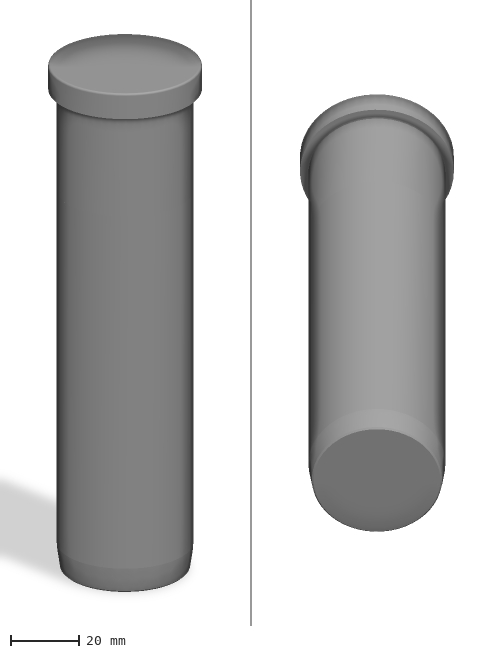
import cadquery as cq

total_length = 160.0
head_diameter = 45.0
head_height = 8.0
shaft_diameter = 40.0
upper_length = 40.0

head_edge_radius = 0.6
groove_width = 1.0
groove_depth = 0.5
nose_height = 8.0
nose_inset = 1.0
nose_mid_inset = 0.35
tip_chamfer = 0.5

head_radius = head_diameter / 2
shaft_radius = shaft_diameter / 2
split_z = total_length - upper_length
head_bottom_z = total_length - head_height


def make_headed_section():
    """Upper section: head, half-round relief groove below it, and fitted shaft."""
    groove_radius = shaft_radius - groove_depth
    groove_bottom_z = head_bottom_z - groove_width
    profile = (
        cq.Workplane("XZ")
        .moveTo(0, split_z)
        .lineTo(shaft_radius, split_z)
        .lineTo(shaft_radius, groove_bottom_z)
        .threePointArc(
            (groove_radius, groove_bottom_z + groove_width / 2),
            (shaft_radius, head_bottom_z),
        )
        .lineTo(head_radius, head_bottom_z)
        .lineTo(head_radius, total_length)
        .lineTo(0, total_length)
        .close()
    )
    return profile.revolve().faces(">Z").edges().fillet(head_edge_radius)


def make_guide_section():
    """Lower section: guiding shaft ending in a rounded, chamfered nose."""
    nose_end_radius = shaft_radius - nose_inset
    nose_mid_z = (nose_height + tip_chamfer) / 2
    profile = (
        cq.Workplane("XZ")
        .lineTo(nose_end_radius - tip_chamfer, 0)
        .lineTo(nose_end_radius, tip_chamfer)
        .threePointArc(
            (shaft_radius - nose_mid_inset, nose_mid_z),
            (shaft_radius, nose_height),
        )
        .lineTo(shaft_radius, split_z)
        .lineTo(0, split_z)
        .close()
    )
    return profile.revolve()


headed_section = make_headed_section()
guide_section = make_guide_section()

result = cq.Compound.makeCompound([headed_section.val(), guide_section.val()])